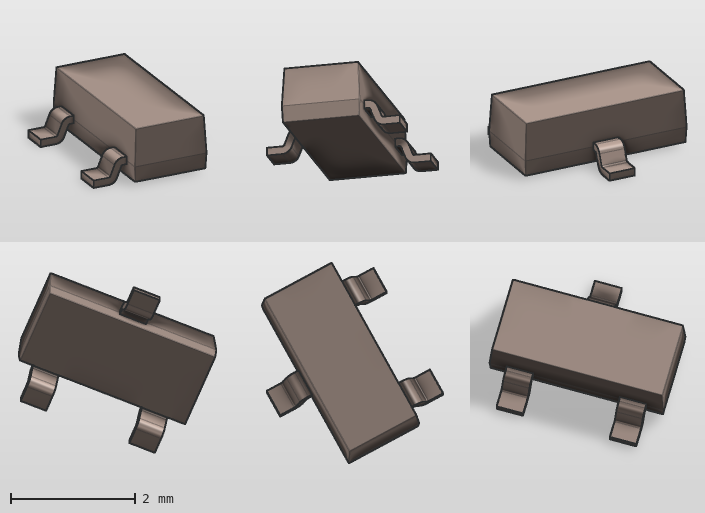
import cadquery as cq
import math

body_length = 2.92
body_width = 1.302
overall_height = 1.02
body_bottom = 0.09
parting_height = 0.37
draft_angle = 3.0
edge_radius = 0.01

lead_thickness = 0.13
lead_top = 0.438
bend_inner_radius = 0.035
bend_angle = 68.0
shoulder_length = 0.065
lead_embed = 0.088
front_lead_reach = 0.595
rear_lead_reach = 0.58
front_lead_width = 0.445
rear_lead_width = 0.455
front_lead_offset = 0.95


def make_body():
    """Two tapered halves meeting at the parting line, with softened outer edges."""
    def half(height):
        return (
            cq.Workplane("XY")
            .workplane(offset=parting_height)
            .rect(body_length, body_width)
            .extrude(height, taper=draft_angle)
        )

    upper = half(overall_height - parting_height)
    lower = half(body_bottom - parting_height)
    upper = upper.edges("not <Z").fillet(edge_radius)
    lower = lower.edges("not >Z").fillet(edge_radius)
    return upper.union(lower)


def make_lead(reach, width):
    """Gull-wing lead leaving the body face toward -Y, centred on X = 0."""
    angle = math.radians(bend_angle)
    outer_radius = bend_inner_radius + lead_thickness
    radius_sum = bend_inner_radius + outer_radius
    drop = lead_top - lead_thickness
    slope_length = (drop - radius_sum * (1 - math.cos(angle))) / math.sin(angle)
    bend_span = radius_sum * math.sin(angle) + slope_length * math.cos(angle)

    face_y = -body_width / 2
    inside_y = face_y + lead_embed
    tip_y = face_y - reach
    upper_bend_y = face_y - shoulder_length
    lower_bend_y = upper_bend_y - bend_span
    upper_center_z = lead_top - outer_radius
    lower_center_z = outer_radius

    def upper_bend_point(radius, turn):
        return (upper_bend_y - radius * math.sin(turn), upper_center_z + radius * math.cos(turn))

    def lower_bend_point(radius, turn):
        return (lower_bend_y + radius * math.sin(turn), lower_center_z - radius * math.cos(turn))

    profile = (
        cq.Workplane("YZ")
        .moveTo(inside_y, lead_top)
        .lineTo(upper_bend_y, lead_top)
        .threePointArc(upper_bend_point(outer_radius, angle / 2), upper_bend_point(outer_radius, angle))
        .lineTo(*lower_bend_point(bend_inner_radius, angle))
        .threePointArc(
            lower_bend_point(bend_inner_radius, angle / 2), lower_bend_point(bend_inner_radius, 0)
        )
        .lineTo(tip_y, lead_thickness)
        .lineTo(tip_y, 0)
        .lineTo(lower_bend_y, 0)
        .threePointArc(lower_bend_point(outer_radius, angle / 2), lower_bend_point(outer_radius, angle))
        .lineTo(*upper_bend_point(bend_inner_radius, angle))
        .threePointArc(
            upper_bend_point(bend_inner_radius, angle / 2), upper_bend_point(bend_inner_radius, 0)
        )
        .lineTo(inside_y, lead_top - lead_thickness)
        .close()
    )
    return profile.extrude(width / 2, both=True)


result = make_body()
front_lead = make_lead(front_lead_reach, front_lead_width)
for side in (-1, 1):
    result = result.union(front_lead.translate((side * front_lead_offset, 0, 0)))

rear_lead = make_lead(rear_lead_reach, rear_lead_width).rotate((0, 0, 0), (0, 0, 1), 180)
result = result.union(rear_lead)